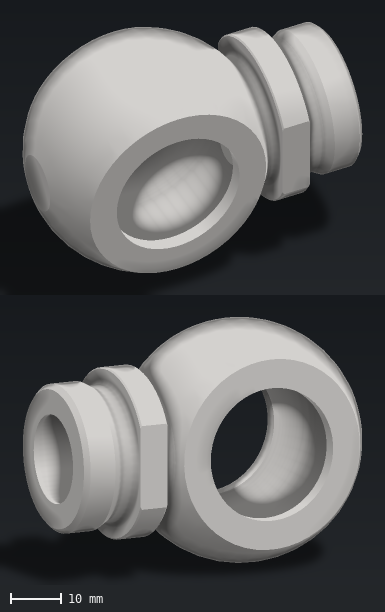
import cadquery as cq
import math

ball_radius = 24.5
head_width = 30.0
nose_flat_diameter = 11.7

eye_diameter = 27.0
recess_diameter = 40.0
recess_corner_radius = 6.0
land_length = 3.0

stem_end = 41.0
thread_diameter = 30.0
thread_length = 6.5
end_chamfer = 1.0
runout_angle = 30.0
groove_diameter = 27.7
collar_diameter = 34.5
collar_back = 29.0
collar_front = 23.0
collar_chamfer = 0.3
neck_diameter = 26.0
corner_fillet = 1.0
stem_bore_diameter = 18.0

edge_tolerance = 1e-4

nose_y = -math.sqrt(ball_radius**2 - (nose_flat_diameter / 2) ** 2)
neck_ball_y = math.sqrt(ball_radius**2 - (neck_diameter / 2) ** 2)
runout_start = stem_end - thread_length
runout_length = (thread_diameter - groove_diameter) / 2 / math.tan(math.radians(runout_angle))
runout_end = runout_start - runout_length


def round_ring_edge(body, radius, y):
    """Round the circular edge of the given radius that lies at position y along the stem axis."""

    def is_wanted(edge):
        same_radius = abs(edge.radius() - radius) < edge_tolerance
        same_position = abs(edge.Center().y - y) < edge_tolerance
        return same_radius and same_position

    return body.edges("%CIRCLE").filter(is_wanted).fillet(corner_fillet)


def make_turned_body():
    """Ball, neck, collar and threaded end, turned about the Y axis."""
    thread_radius = thread_diameter / 2
    groove_radius = groove_diameter / 2
    collar_radius = collar_diameter / 2
    neck_radius = neck_diameter / 2
    body = (
        cq.Workplane("XY")
        .moveTo(0, nose_y)
        .lineTo(nose_flat_diameter / 2, nose_y)
        .threePointArc((ball_radius, 0), (neck_radius, neck_ball_y))
        .lineTo(neck_radius, collar_front)
        .lineTo(collar_radius - collar_chamfer, collar_front)
        .lineTo(collar_radius, collar_front + collar_chamfer)
        .lineTo(collar_radius, collar_back - collar_chamfer)
        .lineTo(collar_radius - collar_chamfer, collar_back)
        .lineTo(groove_radius, collar_back)
        .lineTo(groove_radius, runout_end)
        .lineTo(thread_radius, runout_start)
        .lineTo(thread_radius, stem_end - end_chamfer)
        .lineTo(thread_radius - end_chamfer, stem_end)
        .lineTo(0, stem_end)
        .close()
        .revolve(360, (0, 0, 0), (0, 1, 0))
    )
    inner_corners = (
        (neck_radius, neck_ball_y),
        (neck_radius, collar_front),
        (groove_radius, collar_back),
        (groove_radius, runout_end),
    )
    for radius, y in inner_corners:
        body = round_ring_edge(body, radius, y)
    return body


def make_side_flats():
    """Slab that trims the ball and the collar flat on both X sides."""
    slab_size = 4 * ball_radius
    return cq.Workplane("XY").box(head_width, slab_size, slab_size)


def make_eye():
    """Cross bore whose wider middle has a quarter-round corner beside each land."""
    half_width = head_width / 2
    eye_radius = eye_diameter / 2
    recess_radius = recess_diameter / 2
    land_end = half_width - land_length
    recess_end = land_end - recess_corner_radius
    corner_base = recess_radius - recess_corner_radius
    return (
        cq.Workplane("XY")
        .moveTo(-half_width, 0)
        .lineTo(-half_width, eye_radius)
        .lineTo(-land_end, eye_radius)
        .lineTo(-land_end, corner_base)
        .radiusArc((-recess_end, recess_radius), recess_corner_radius)
        .lineTo(recess_end, recess_radius)
        .radiusArc((land_end, corner_base), recess_corner_radius)
        .lineTo(land_end, eye_radius)
        .lineTo(half_width, eye_radius)
        .lineTo(half_width, 0)
        .close()
        .revolve(360, (0, 0, 0), (1, 0, 0))
    )


def make_stem_bore():
    """Round passage from the end of the stem into the cross bore."""
    return cq.Workplane("XZ").circle(stem_bore_diameter / 2).extrude(-stem_end)


result = make_turned_body().intersect(make_side_flats()).cut(make_eye()).cut(make_stem_bore())